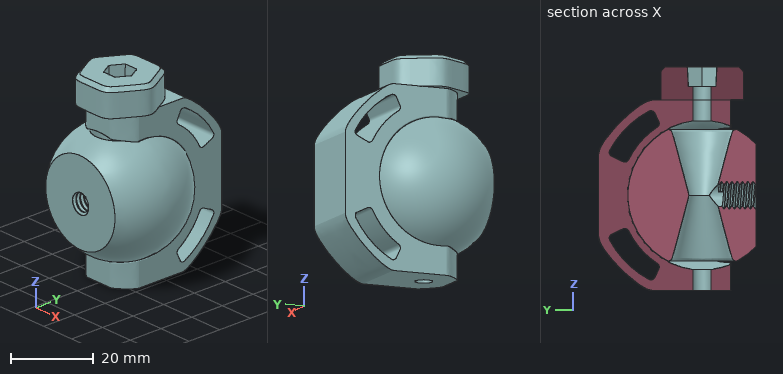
import cadquery as cq
import math


ball_diameter = 36.0
ball_radius = ball_diameter / 2
ball_face_y = -13.0
throat_radius = 3.15
cone_half_angle = 15.0
mouth_fillet = 1.0

thread_minor_radius = 2.6
thread_major_radius = 3.25
thread_pitch = 1.27
thread_crest_flat = 0.1
thread_start_angle = 60.0

bracket_width = 18.0
bracket_half_width = bracket_width / 2
bracket_half_height = 23.0
bracket_back_y = 25.0
bracket_front_y = -6.95
front_corner_blend = 5.0
back_corner_blend = 13.0
bracket_blend_fullness = 0.25
socket_edge_fillet = 0.25
screw_hole_radius = 2.1

slot_outer_center_y = 2.0
slot_outer_radius = 22.95
slot_inner_radius = 19.7
slot_start_angle = 25.5
slot_end_angle = 64.5
slot_corner_radius = 1.0

knob_across_flats = 20.05
knob_height = 8.0
knob_corner_blend = 3.4
knob_blend_fullness = 0.86
knob_chamfer = 1.1
nut_across_flats = 7.1
nut_pocket_depth = 4.75
nut_pocket_draft = 3.0

knob_top_z = bracket_half_height + knob_height


def polar(radius, degrees):
    """Point at a radius and angle about the origin."""
    angle = math.radians(degrees)
    return cq.Vector(radius * math.cos(angle), radius * math.sin(angle))


def blended_outline(plane, corners, setbacks, fullness):
    """Closed polygon whose corners are soft curves tangent to the sides.

    A setback is the distance from a corner to the start of its curve (0 keeps it sharp).
    Fullness is how far the curve handles reach toward the corner, from 0 to 1.
    """
    outline = None
    for i, (corner, setback) in enumerate(zip(corners, setbacks)):
        to_previous = (corners[i - 1] - corner).normalized()
        to_next = (corners[(i + 1) % len(corners)] - corner).normalized()
        handle = setback * (1 - fullness)
        blend = [
            corner + to_previous * setback,
            corner + to_previous * handle,
            corner + to_next * handle,
            corner + to_next * setback,
        ]
        points = [(p.x, p.y) for p in blend]
        outline = plane.moveTo(*points[0]) if outline is None else outline.lineTo(*points[0])
        if setback > 0:
            outline = outline.bezier(points[1:], includeCurrent=True)
    return outline.close()


def clearance_cone():
    """Cone that opens upward from the throat at the ball centre."""
    height = ball_radius + 0.55
    top_radius = throat_radius + height * math.tan(math.radians(cone_half_angle))
    return cq.Workplane(cq.Solid.makeCone(throat_radius, top_radius, height))


def thread_groove():
    """Helical groove along +Y, from just outside the ball face to just short of the throat."""
    lead_in = thread_pitch
    length = lead_in - ball_face_y - throat_radius - thread_pitch
    flank = thread_pitch / 2 * 0.9
    root = thread_minor_radius - 0.1
    helix = cq.Wire.makeHelix(thread_pitch, length, root)
    profile = (
        cq.Workplane("XZ")
        .polyline([
            (root, -flank),
            (thread_major_radius, -thread_crest_flat / 2),
            (thread_major_radius, thread_crest_flat / 2),
            (root, flank),
        ])
        .close()
    )
    groove = profile.sweep(cq.Workplane(helix), isFrenet=True)
    return (
        groove.rotate((0, 0, 0), (0, 0, 1), thread_start_angle)
        .rotate((0, 0, 0), (1, 0, 0), -90)
        .translate((0, ball_face_y - lead_in, 0))
    )


def make_ball():
    ball = cq.Workplane().sphere(ball_radius)
    front_waste = (
        cq.Workplane("XZ", origin=(0, ball_face_y, 0))
        .rect(2 * ball_radius, 2 * ball_radius)
        .extrude(ball_radius)
    )
    bore = (
        cq.Workplane("XZ", origin=(0, ball_face_y, 0))
        .circle(thread_minor_radius)
        .extrude(ball_face_y)
        .rotate((0, 0, 0), (0, 1, 0), 90)
    )
    upper_cone = clearance_cone()
    ball = ball.cut(upper_cone).cut(upper_cone.mirror("XY"))
    ball = ball.cut(front_waste).cut(bore).cut(thread_groove())
    for mouth in (">Z", "<Z"):
        ball = ball.edges(mouth).fillet(mouth_fillet)
    return ball


def bracket_block():
    """Side outline with blended back corners, crossed with a plan that has blended front corners."""
    side_corners = [
        cq.Vector(bracket_front_y, -bracket_half_height),
        cq.Vector(bracket_back_y, -bracket_half_height),
        cq.Vector(bracket_back_y, bracket_half_height),
        cq.Vector(bracket_front_y, bracket_half_height),
    ]
    side = blended_outline(
        cq.Workplane("YZ", origin=(-bracket_half_width, 0, 0)),
        side_corners,
        [0, back_corner_blend, back_corner_blend, 0],
        bracket_blend_fullness,
    ).extrude(bracket_width)
    plan_corners = [
        cq.Vector(-bracket_half_width, bracket_front_y),
        cq.Vector(bracket_half_width, bracket_front_y),
        cq.Vector(bracket_half_width, bracket_back_y),
        cq.Vector(-bracket_half_width, bracket_back_y),
    ]
    plan = blended_outline(
        cq.Workplane("XY", origin=(0, 0, -bracket_half_height)),
        plan_corners,
        [front_corner_blend, front_corner_blend, 0, 0],
        bracket_blend_fullness,
    ).extrude(2 * bracket_half_height)
    return side.intersect(plan)


def upper_slot():
    """Curved slot: outer side runs along the blended back, inner side follows the ball."""
    outer_center = (-bracket_half_width, slot_outer_center_y, 0)
    reach = 2 * slot_outer_radius
    start = polar(reach, slot_start_angle)
    end = polar(reach, slot_end_angle)
    wedge = (
        cq.Workplane("YZ", origin=outer_center)
        .polyline([(0, 0), (start.x, start.y), (end.x, end.y)])
        .close()
        .extrude(bracket_width)
    )
    outer = cq.Workplane("YZ", origin=outer_center).circle(slot_outer_radius).extrude(bracket_width)
    inner = (
        cq.Workplane("YZ", origin=(-bracket_half_width, 0, 0))
        .circle(slot_inner_radius)
        .extrude(bracket_width)
    )
    return wedge.intersect(outer).cut(inner).edges("|X").fillet(slot_corner_radius)


def make_bracket():
    bracket = bracket_block()
    slot = upper_slot()
    bracket = bracket.cut(slot).cut(slot.mirror("XY"))
    bracket = bracket.cut(cq.Workplane().sphere(ball_radius))
    socket = bracket.faces(cq.selectors.TypeSelector("SPHERE"))
    bracket = socket.edges("not(#Z and |Z)").fillet(socket_edge_fillet)
    screw_hole = cq.Workplane().circle(screw_hole_radius).extrude(bracket_half_height, both=True)
    return bracket.cut(screw_hole)


def knob_outline():
    """Hexagon with blended corners."""
    corner_radius = knob_across_flats / math.sqrt(3)
    return blended_outline(
        cq.Workplane("XY", origin=(0, 0, bracket_half_height)),
        [polar(corner_radius, 60 * i) for i in range(6)],
        [knob_corner_blend] * 6,
        knob_blend_fullness,
    )


def make_knob():
    knob = knob_outline().extrude(knob_height).faces(">Z").edges().chamfer(knob_chamfer)
    nut_pocket = (
        cq.Workplane("XY", origin=(0, 0, knob_top_z))
        .polygon(6, nut_across_flats * 2 / math.sqrt(3))
        .extrude(-nut_pocket_depth, taper=nut_pocket_draft)
    )
    screw_hole = (
        cq.Workplane("XY", origin=(0, 0, bracket_half_height))
        .circle(screw_hole_radius)
        .extrude(knob_height)
    )
    return knob.cut(nut_pocket).cut(screw_hole)


ball = make_ball()
bracket = make_bracket()
knob = make_knob()

result = cq.Compound.makeCompound([ball.val(), bracket.val(), knob.val()])